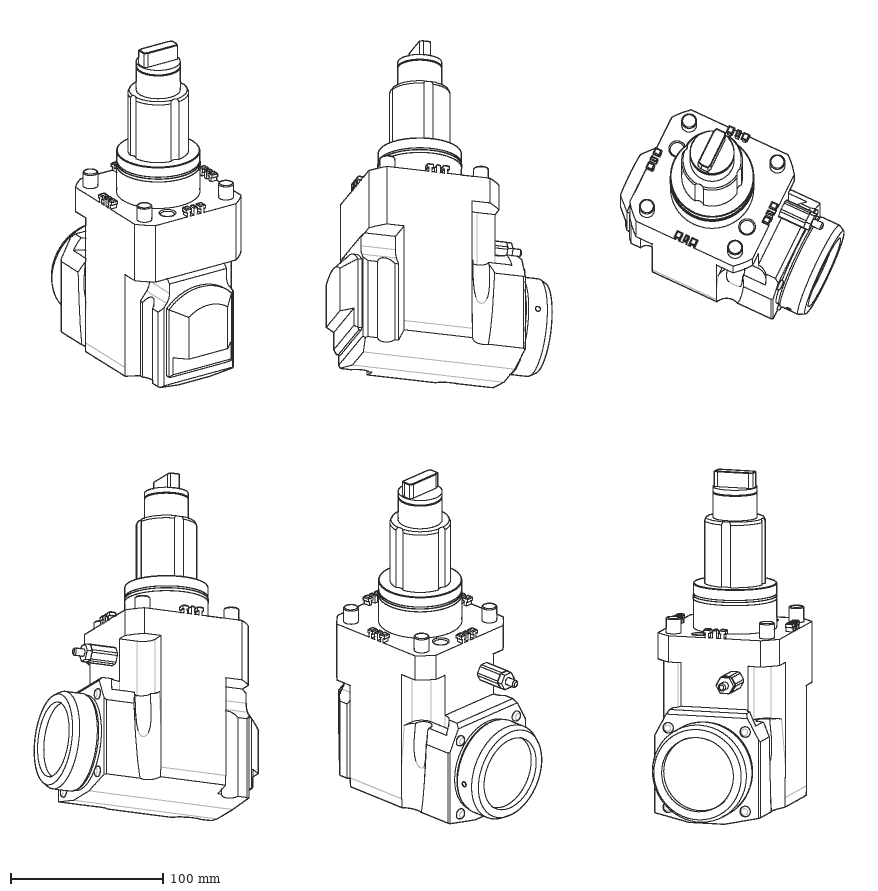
import cadquery as cq
import math

total_height = 225.0
head_z = 36.0

half_length = 44.8
width = 84.0
half_width = width / 2
corner_radius = 55.0
flange_top = 120.8
flange_bottom = 103.3
web_right = 23.6
web_foot_z = 13.0
web_foot_draft = 0.2

keel_half_width = 12.2
keel_slope = 0.22

block_left = -61.6
block_top = 74.2
block_half_width = 36.5
block_top_half_width = 26.5
block_shoulder_z = 56.2
block_top_chamfer = 2.7
block_side_chamfer = (1.4, 0.7)
notch_floor = 65.5
notch_radius = 9.0
screw_offset = 32.2
notch_tilt = 5.0
notch_axis_y = 39.4
wrench_axis_y = 30.8
wrench_tilt = 15.0
wrench_diameter = 11.5

rear_end = 47.5
rear_top = 80.0
rear_neck_half_width = 22.5
rear_half_width = 29.7
rear_fillet_top = 70.6
rear_fillet_bottom = 64.0
rear_fillet_radius = 11.2
rear_shoulder_z = 57.8
rear_edge_chamfer = 2.7
rear_foot_chamfer = 5.0
rear_bore_diameter = 12.8

cap_radius = 34.6
cap_half_width = 24.8
cap_taper_start = 50.2
cap_end = 59.6
cap_step_x = 52.2
cap_step_z = 25.9
cap_bottom = 10.5
cap_bottom_chamfer = 3.2

nut_end = -82.0
nut_diameter = 64.8
nut_neck_diameter = 63.2
nut_front_diameter = 60.3
nut_chamfer_length = 4.0
nut_back = -65.0
nut_neck_start = -63.7
nut_recess_diameter = 49.5
nut_recess_depth = 4.5
nut_pin_x = -71.3
nut_pin_diameter = 3.4
nut_pin_height = 0.5
nut_pin_length = 4.5

cover_screw_offset = 26.5
cover_screw_diameter = 7.0
cover_screw_height = 1.8
cover_screw_rounding = 1.4

pin_y = -14.0
pin_z = 93.5
pin_end = -73.8
pin_diameter = 5.0
pin_chamfer = 1.0
hex_width = 11.5
hex_blank_diameter = 12.4
hex_end = -63.0
hex_nose_width = 10.5
hex_nose_end = -66.5

collar_top = 150.5
collar_diameter = 55.0
collar_chamfer = 0.5
seal_diameter = 55.4
seal_bottom = 140.0
seal_top = 142.0
seal_groove_top = 143.3
seal_groove_diameter = 54.5
shank_diameter = 40.0
shank_top = 194.2
shank_chamfer = (1.0, 2.0)
flute_radius = 4.5
flute_axis_radius = 23.0
neck_diameter = 29.0
neck_top = 214.6
neck_groove_z = 210.5
neck_groove_width = 0.7
neck_groove_depth = 0.2
tang_thickness = 8.3
tang_length = 26.8
tang_chamfer = 1.0
tang_end_bevel = 2.7
tang_top_chamfer = 0.5

screw_diameter = 10.0
screw_top = 131.0
screw_chamfer = 0.7
plug_y = 14.0
plug_diameter = 11.0
plug_depth = 1.0
clip_height = 5.6
clip_depth = 4.7
clip_head_height = 2.7
clip_offset = 5.5
clip_head_width = 4.3
clip_stem_width = 2.2
clip_center_width = 2.5
clip_chamfer = 0.7


def box(x_range, y_range, z_range):
    """Axis-aligned box from its limits."""
    sizes = [high - low for low, high in (x_range, y_range, z_range)]
    corner = (x_range[0], y_range[0], z_range[0])
    return cq.Workplane("XY").box(*sizes, centered=False).translate(corner)


def rod_x(x_start, x_end, diameter, y, z):
    """Cylinder along X."""
    plane = cq.Workplane("YZ", origin=(x_start, y, z))
    return plane.circle(diameter / 2).extrude(x_end - x_start)


def along_x(outline, x_start, x_end):
    """Extrude a right-hand (Y, Z) outline, mirrored about Y = 0, along X."""
    half = cq.Workplane("YZ", origin=(x_start, 0, 0)).polyline(outline).close().extrude(x_end - x_start)
    return half.union(half.mirror("XZ"))


def both_sides(shape):
    """Add the mirror image of a shape about Y = 0."""
    return shape.union(shape.mirror("XZ"))


def keel_height(y):
    """Height of the sloped underside at a distance y from the middle."""
    return keel_slope * (y - keel_half_width)


def leaning_cutter(radius, axis_y, tilt, open_sided):
    """Round cutter below the notch floor that leans out to -Y as it runs down.

    An open-sided cutter also clears everything outward of its axis.
    """
    lean = math.radians(tilt)
    down = cq.Vector(0, -math.sin(lean), -math.cos(lean))
    floor_point = cq.Vector(-screw_offset, -axis_y, notch_floor)
    plane = cq.Plane(origin=floor_point - down * notch_floor, xDir=(1, 0, 0), normal=down)
    cutter = cq.Workplane(plane).circle(radius).extrude(3 * notch_floor)
    if open_sided:
        outer_half = cq.Workplane(plane).center(0, half_width / 2).rect(2 * radius, half_width)
        cutter = cutter.union(outer_half.extrude(3 * notch_floor))
    below_floor = box((-half_length, web_right), (-width, 0), (-notch_floor, notch_floor))
    return cutter.intersect(below_floor)


def make_upper_housing():
    body = box((-half_length, half_length), (-half_width, half_width), (notch_floor, flange_top))
    body = body.intersect(cq.Workplane("XY").circle(corner_radius).extrude(flange_top))
    return body.cut(box((web_right, rear_end), (-half_width, half_width), (notch_floor, rear_top)))


def make_web():
    foot_half_width = half_width - web_foot_draft
    outline = [
        (0, 0),
        (keel_half_width, 0),
        (foot_half_width, keel_height(foot_half_width)),
        (half_width, web_foot_z),
        (half_width, flange_bottom),
        (0, flange_bottom),
    ]
    return along_x(outline, -screw_offset, web_right)


def make_tool_block():
    outline = [
        (0, 0),
        (keel_half_width, 0),
        (block_half_width, keel_height(block_half_width)),
        (block_half_width, block_shoulder_z),
        (block_top_half_width, block_top),
        (0, block_top),
    ]
    block = along_x(outline, block_left, -screw_offset)
    top_edge = cq.Workplane("XZ", origin=(0, half_width, 0)).polyline([
        (block_left, block_top),
        (block_left + block_top_chamfer, block_top),
        (block_left, block_top - block_top_chamfer),
    ]).close().extrude(width)
    side_edge = cq.Workplane("XY").polyline([
        (block_left, -block_half_width),
        (block_left + block_side_chamfer[0], -block_half_width),
        (block_left, -block_half_width + block_side_chamfer[1]),
    ]).close().extrude(block_top)
    return block.cut(top_edge).cut(both_sides(side_edge))


def make_notches():
    """Screw notches with round ends, and the leaning clearances below them."""
    height = flange_bottom - notch_floor
    slot_center_x = (-half_length - screw_offset) / 2
    slot_length = half_length - screw_offset + 2 * notch_radius
    slot = (
        cq.Workplane("XY", origin=(slot_center_x, -screw_offset, notch_floor))
        .slot2D(slot_length, 2 * notch_radius)
        .extrude(height)
    )
    opening = box(
        (-half_length - notch_radius, -screw_offset + notch_radius),
        (-width, -screw_offset),
        (notch_floor, flange_bottom),
    )
    notch = slot.union(opening)
    notch = notch.union(leaning_cutter(notch_radius, notch_axis_y, notch_tilt, True))
    notch = notch.union(leaning_cutter(wrench_diameter / 2, wrench_axis_y, wrench_tilt, False))
    return both_sides(notch)


def make_rear_block():
    turn = math.asin((rear_fillet_top - rear_fillet_bottom) / rear_fillet_radius)
    center_y = rear_neck_half_width + rear_fillet_radius

    def fillet_point(angle):
        y = center_y - rear_fillet_radius * math.cos(angle)
        return (y, rear_fillet_top - rear_fillet_radius * math.sin(angle))

    half = (
        cq.Workplane("YZ")
        .lineTo(keel_half_width, 0)
        .lineTo(rear_half_width, keel_height(rear_half_width))
        .lineTo(rear_half_width, rear_shoulder_z)
        .lineTo(*fillet_point(turn))
        .threePointArc(fillet_point(turn / 2), fillet_point(0))
        .lineTo(rear_neck_half_width, rear_top)
        .lineTo(0, rear_top)
        .close()
        .extrude(rear_end)
    )
    block = both_sides(half)
    side_outline = cq.Workplane("XZ", origin=(0, half_width, 0)).polyline([
        (0, 0),
        (rear_end - rear_foot_chamfer, 0),
        (rear_end, rear_foot_chamfer),
        (rear_end, rear_top - rear_edge_chamfer),
        (rear_end - rear_edge_chamfer, rear_top),
        (0, rear_top),
    ]).close().extrude(width)
    plan = (
        box((0, rear_end), (-rear_half_width, rear_half_width), (0, rear_top))
        .edges("|Z and >X")
        .chamfer(rear_edge_chamfer)
    )
    bores = (
        cq.Workplane("XY")
        .pushPoints([(screw_offset, -screw_offset), (screw_offset, screw_offset)])
        .circle(rear_bore_diameter / 2)
        .extrude(rear_top)
    )
    return block.intersect(side_outline).intersect(plan).cut(bores)


def make_rear_cap():
    taper = cap_end - cap_taper_start
    disc = rod_x(rear_end, cap_end, 2 * cap_radius, 0, head_z).faces(">X").chamfer(taper)
    plan = cq.Workplane("XY").polyline([
        (rear_end, -cap_half_width),
        (cap_taper_start, -cap_half_width),
        (cap_end, -cap_half_width + taper),
        (cap_end, cap_half_width - taper),
        (cap_taper_start, cap_half_width),
        (rear_end, cap_half_width),
    ]).close().extrude(rear_top)
    side_outline = cq.Workplane("XZ", origin=(0, cap_half_width, 0)).polyline([
        (rear_end, cap_bottom),
        (cap_step_x - cap_bottom_chamfer, cap_bottom),
        (cap_step_x, cap_bottom + cap_bottom_chamfer),
        (cap_step_x, cap_step_z),
        (cap_end, cap_step_z),
        (cap_end, rear_top),
        (rear_end, rear_top),
    ]).close().extrude(2 * cap_half_width)
    return disc.intersect(plan).intersect(side_outline)


def make_nut():
    recess_floor = nut_end + nut_recess_depth
    profile = [
        (block_left, 0),
        (recess_floor, 0),
        (recess_floor, nut_recess_diameter / 2),
        (nut_end, nut_recess_diameter / 2),
        (nut_end, nut_front_diameter / 2),
        (nut_end + nut_chamfer_length, nut_diameter / 2),
        (nut_back, nut_diameter / 2),
        (nut_neck_start, nut_neck_diameter / 2),
        (block_left, nut_neck_diameter / 2),
    ]
    nut = cq.Workplane("XY").polyline(profile).close().revolve(360, (0, 0, 0), (1, 0, 0))
    pin = (
        cq.Workplane("XZ", origin=(nut_pin_x, nut_diameter / 2 + nut_pin_height, 0))
        .circle(nut_pin_diameter / 2)
        .extrude(nut_pin_length)
    )
    return nut.union(pin).translate((0, 0, head_z))


def make_cover_screws():
    return (
        cq.Workplane("YZ", origin=(block_left, 0, head_z))
        .rect(2 * cover_screw_offset, 2 * cover_screw_offset, forConstruction=True)
        .vertices()
        .circle(cover_screw_diameter / 2)
        .extrude(-cover_screw_height)
        .faces("<X")
        .fillet(cover_screw_rounding)
    )


def make_coolant_pin():
    def hex_bar(width, x_end):
        across_corners = width / math.cos(math.pi / 6)
        plane = cq.Workplane("YZ", origin=(x_end, pin_y, pin_z))
        bar = plane.polygon(6, across_corners).extrude(-half_length - x_end)
        return bar.intersect(rod_x(x_end, -half_length, hex_blank_diameter, pin_y, pin_z))

    tip = rod_x(pin_end, -half_length, pin_diameter, pin_y, pin_z).faces("<X").chamfer(pin_chamfer)
    return hex_bar(hex_width, hex_end).union(hex_bar(hex_nose_width, hex_nose_end)).union(tip)


def make_spindle():
    shank_radius = shank_diameter / 2
    neck_radius = neck_diameter / 2
    groove_top = neck_groove_z + neck_groove_width
    profile = [
        (0, flange_top),
        (collar_diameter / 2, flange_top),
        (collar_diameter / 2, seal_bottom),
        (seal_diameter / 2, seal_bottom),
        (seal_diameter / 2, seal_top),
        (seal_groove_diameter / 2, seal_top),
        (seal_groove_diameter / 2, seal_groove_top),
        (collar_diameter / 2, seal_groove_top),
        (collar_diameter / 2, collar_top - collar_chamfer),
        (collar_diameter / 2 - collar_chamfer, collar_top),
        (shank_radius, collar_top),
        (shank_radius, shank_top - shank_chamfer[1]),
        (shank_radius - shank_chamfer[0], shank_top),
        (neck_radius, shank_top),
        (neck_radius, neck_groove_z),
        (neck_radius - neck_groove_depth, neck_groove_z),
        (neck_radius - neck_groove_depth, groove_top),
        (neck_radius, groove_top),
        (neck_radius, neck_top),
        (0, neck_top),
    ]
    spindle = cq.Workplane("XZ").polyline(profile).close().revolve(360, (0, 0, 0), (0, 1, 0))
    flutes = (
        cq.Workplane("XY", origin=(0, 0, collar_top))
        .polarArray(flute_axis_radius, 0, 360, 4)
        .circle(flute_radius)
        .extrude(shank_top - collar_top)
    )
    tang = (
        cq.Workplane("XY", origin=(0, 0, neck_top))
        .rect(tang_thickness, tang_length)
        .extrude(total_height - neck_top)
        .edges("|Z")
        .chamfer(tang_chamfer, tang_end_bevel)
        .faces(">Z")
        .chamfer(tang_top_chamfer)
    )
    return spindle.cut(flutes).union(tang)


def make_flange_screws():
    return (
        cq.Workplane("XY", origin=(0, 0, flange_top))
        .rect(2 * screw_offset, 2 * screw_offset, forConstruction=True)
        .vertices()
        .circle(screw_diameter / 2)
        .extrude(screw_top - flange_top)
        .faces(">Z")
        .chamfer(screw_chamfer)
    )


def make_plug_recesses():
    """Shallow conical recesses beside the collar."""
    return (
        cq.Workplane("XY", origin=(0, 0, flange_top))
        .pushPoints([(-screw_offset, plug_y), (screw_offset, -plug_y)])
        .circle(plug_diameter / 2)
        .extrude(-plug_depth, taper=45)
    )


def make_clip(edge_distance):
    """Three posts on the -Y edge of the flange, the outer two with a wider head."""
    depth_range = (-edge_distance, -edge_distance + clip_depth)
    top = flange_top + clip_height

    def post(x, width, bottom):
        bar = box((x - width / 2, x + width / 2), depth_range, (bottom, top))
        return bar.faces(">Z").chamfer(clip_chamfer)

    clip = post(0, clip_center_width, flange_top)
    for x in (-clip_offset, clip_offset):
        clip = clip.union(post(x, clip_stem_width, flange_top))
        clip = clip.union(post(x, clip_head_width, top - clip_head_height))
    return clip


result = make_upper_housing().union(make_web()).union(make_tool_block()).cut(make_notches())
result = result.union(make_rear_block()).union(make_rear_cap())
result = result.union(make_nut()).union(make_cover_screws()).union(make_coolant_pin())
result = result.cut(make_plug_recesses())
result = result.union(make_spindle()).union(make_flange_screws())

for side in range(4):
    distance = half_width if side % 2 == 0 else half_length
    clip = make_clip(distance).rotate((0, 0, 0), (0, 0, 1), 90 * side)
    result = result.union(clip)